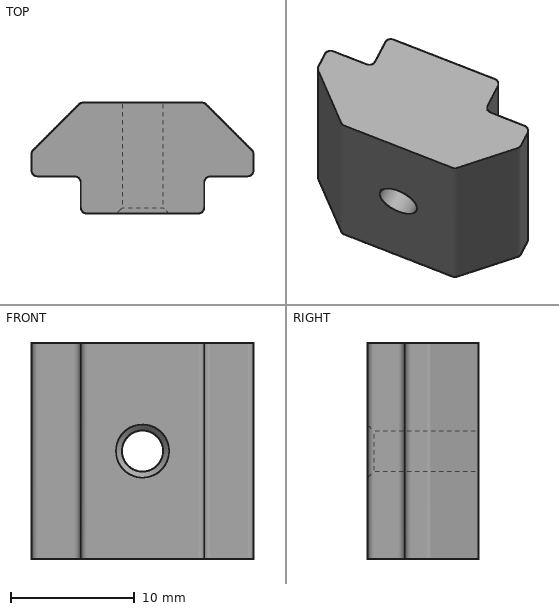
import cadquery as cq

width = 18.0
depth = 9.0
length = 17.5

stem_width = 10.0
stem_depth = 3.0
top_width = stem_width
bevel = (width - top_width) / 2
edge_radius = 0.5

hole_diameter = 3.31
countersink_diameter = 4.3
countersink_angle = 90.0

front_y = -depth / 2
shoulder_y = front_y + stem_depth
back_y = depth / 2


def make_body():
    """Extrude the T profile along Z and round all of its corners."""
    right_half = [
        (stem_width / 2, front_y),
        (stem_width / 2, shoulder_y),
        (width / 2, shoulder_y),
        (width / 2, back_y - bevel),
        (top_width / 2, back_y),
    ]
    left_half = [(-x, y) for x, y in reversed(right_half)]
    profile = cq.Workplane("XY").polyline(right_half + left_half).close()
    body = profile.extrude(length / 2, both=True)
    return body.edges("|Z").fillet(edge_radius)


def cut_hole(body):
    """Cut the countersunk through hole along Y, centred on the stem face."""
    stem_face = body.faces("<Y").workplane(centerOption="CenterOfBoundBox")
    return stem_face.cskHole(hole_diameter, countersink_diameter, countersink_angle)


result = cut_hole(make_body())